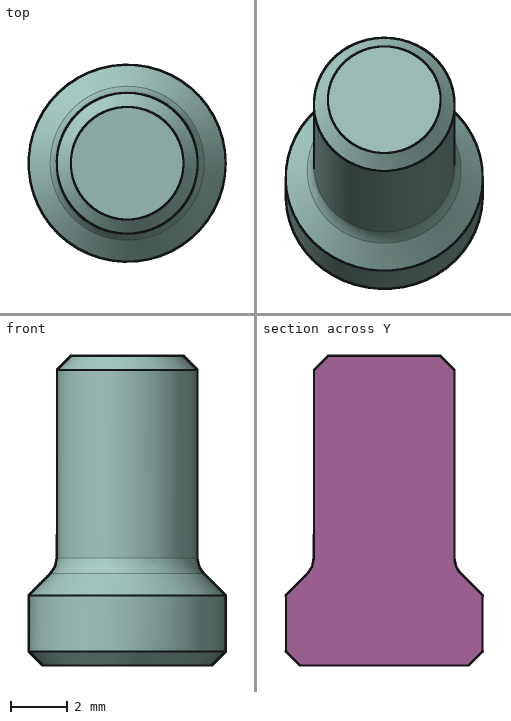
import cadquery as cq

total_height = 11.0
head_diameter = 7.0
shank_diameter = 5.0

head_rim_height = 2.5
end_chamfer = 0.5
neck_fillet_radius = 0.8

head_radius = head_diameter / 2
shank_radius = shank_diameter / 2
shoulder_height = head_radius - shank_radius
shoulder_top = head_rim_height + shoulder_height


def make_head():
    """Chamfered disc at the bottom, topped by the 45 degree shoulder cone."""
    outline = [
        (0, 0),
        (head_radius - end_chamfer, 0),
        (head_radius, end_chamfer),
        (head_radius, head_rim_height),
        (shank_radius, shoulder_top),
        (0, shoulder_top),
    ]
    return cq.Workplane("XZ").polyline(outline).close().revolve()


def make_shank():
    """Plain cylinder above the shoulder with a chamfered top edge."""
    shank = cq.Workplane("XY").workplane(offset=shoulder_top)
    shank = shank.circle(shank_radius).extrude(total_height - shoulder_top)
    return shank.faces(">Z").edges().chamfer(end_chamfer)


def fillet_neck(body):
    """Round the inside corner where the shoulder cone meets the shank."""
    half_band = shoulder_height / 2
    neck_edge = cq.selectors.BoxSelector(
        (-head_radius, -head_radius, shoulder_top - half_band),
        (head_radius, head_radius, shoulder_top + half_band),
    )
    return body.edges("%CIRCLE").edges(neck_edge).fillet(neck_fillet_radius)


result = fillet_neck(make_head().union(make_shank()))